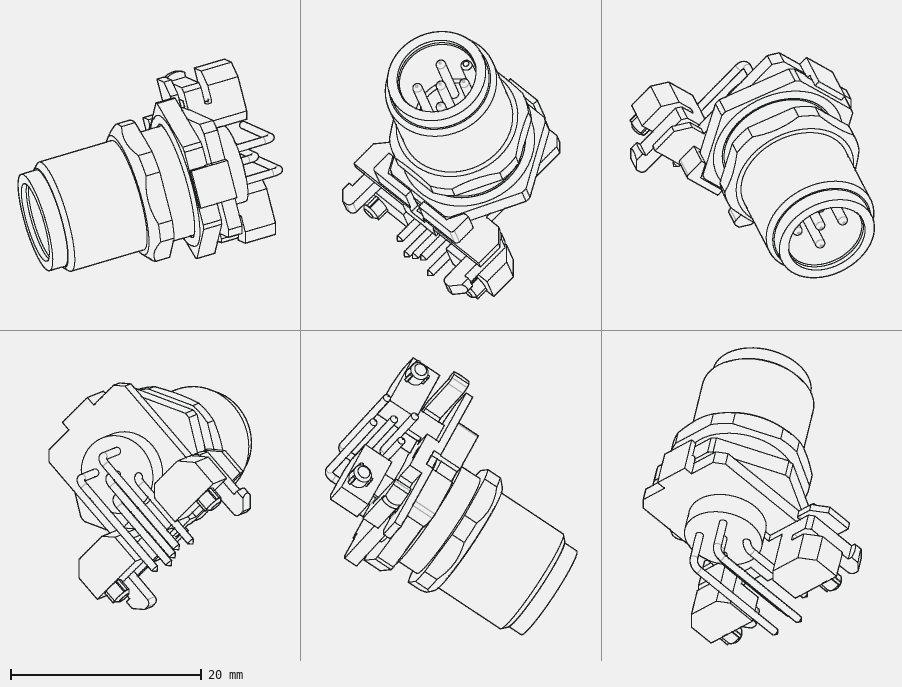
import cadquery as cq
import math

MOUNT_ANGLE = -45

TIP_DIA = 10.6
TIP_LENGTH = 1.67
BARREL_DIA = 12.0
BARREL_CHAMFER = 0.55
BORE_MOUTH_DIA = 8.5
BORE_MOUTH_DEPTH = 0.55
BORE_DIA = 8.3
BORE_TAPER_LENGTH = 0.22
BORE_DEPTH = 8.9
BORE_FLOOR_DIA = 7.65

NUT_FRONT = 10.33
NUT_BACK = 12.8
NUT_APOTHEM = 7.05
NUT_CORNER_RADIUS = 7.52
NUT_FACE_DIA = 13.08
NUT_CHAMFER_LENGTH = 0.95

FLANGE_FRONT = 15.8
FLANGE_BACK = 17.82
FLANGE_APOTHEM = 7.55
FLANGE_CORNER_RADIUS = 8.55
SEAL_DIA = 14.4
SEAL_SECTION_RADIUS = 0.5
SEAL_PROUD = 0.38

PLATE_FRONT = 18.33
PLATE_BACK = 19.85
PLATE_RIGHT = 7.47
PLATE_HALF_HEIGHT = 6.23
PLATE_CHAMFER = 0.95
NECK_DIA = 10.6
INSERT_DIA = 8.3
INSERT_BACK = 22.3

CLIP_HALF_WIDTH = 2.05
CLIP_OUTER = 8.52
CLIP_INNER = 7.9
CLIP_STEP = 17.52

BOARD_FACE = -8.6
CARRIER_INNER = -4.18
CARRIER_HALF_HEIGHT = 9.5
CARRIER_CHAMFER = 1.43
WING_BACK = 19.17
TOWER_FRONT = 22.5
TOWER_BACK = 25.9
TOWER_INNER = 3.24
TOWER_INNER_CHAMFER = 1.05
CORE_FACE = -6.07
CORE_HALF_HEIGHT = 6.17
TAB_BACK = 20.68
TAB_HALF_HEIGHT = 2.3
SLOT_FILLET = 0.25

FOOT_FACE = -8.47
FOOT_INNER = -5.95
FOOT_HALF_HEIGHT = 6.05
FOOT_FILLET = 0.38
FLANGE_CLEARANCE = 0.13
FOOT_GAP_HALF_HEIGHT = 2.65
NOTCH_HALF_HEIGHT = 1.0
NOTCH_BOTTOM = -7.63
WINDOW_HALF_HEIGHT = 0.65
WINDOW_OUTER = -8.11

HOOK_FRONT = 19.85
HOOK_BACK = 21.75
HOOK_OUTER = 8.55
HOOK_INNER = 6.95
HOOK_ROOT = -5.72
HOOK_BARB_START = -10.22
HOOK_BARB_TIP = 9.33
HOOK_BARB_SLOPE_START = -10.92
HOOK_END = -12.19
HOOK_END_INNER = 7.05
HOOK_END_FILLET = 0.55
HOOK_CROWN_RADIUS = 1.78

PEG_DIA = 2.0
PEG_RIB_COUNT = 3
PEG_RIB_WIDTH = 0.35
PEG_RIB_RADIUS = 1.2
PEG_TIP = -10.3
PEG_CHAMFER = 0.32
PEG_HEIGHT = 7.52
PEG_Y = 24.83

CONTACT_PITCH = 1.78
CONTACT_DIA = 1.0
CONTACT_TIP = 1.8
CONTACT_TIP_FILLET = 0.38
WIRE_DIA = 0.8
WIRE_END = -11.1
WIRE_CHAMFER = 0.38
BEND_RADIUS = 0.92
WIRE_ROW_Y = {-CONTACT_PITCH: 23.02, 0: 24.8, CONTACT_PITCH: 26.55}
CONTACT_PLACES = [
    (0, 0),
    (CONTACT_PITCH, CONTACT_PITCH),
    (CONTACT_PITCH, -CONTACT_PITCH),
    (-CONTACT_PITCH, CONTACT_PITCH),
    (-CONTACT_PITCH, -CONTACT_PITCH),
]

KEY_DIA = 1.2
KEY_OFFSET = 3.67
KEY_FRONT = 2.7


def prism(points, front, back):
    """Outline of (x, z) points extruded between two y positions."""
    return cq.Workplane("XZ", origin=(0, back, 0)).polyline(points).close().extrude(back - front)


def block(x0, x1, z0, z1, front, back):
    return prism([(x0, z0), (x1, z0), (x1, z1), (x0, z1)], front, back)


def disc(diameter, front, back, x=0, z=0):
    return cq.Workplane("XZ", origin=(x, back, z)).circle(diameter / 2).extrude(back - front)


def turned(profile):
    """Revolve (radius, y) points about the connector axis."""
    return cq.Workplane("XY").polyline(profile).close().revolve(360, (0, 0, 0), (0, 1, 0))


def hexagon(apothem, front, back):
    """Hexagonal prism with two corners on the Z axis."""
    across_corners = 2 * apothem / math.cos(math.radians(30))
    outline = cq.Workplane("XZ", origin=(0, back, 0)).transformed(rotate=(0, 0, 90))
    return outline.polygon(6, across_corners).extrude(back - front)


def both_sides(solid):
    """The solid together with its mirror image in the plane z = 0."""
    return solid.union(solid.mirror("XY"))


def make_barrel():
    barrel_radius = BARREL_DIA / 2
    outer = turned([
        (0, 0),
        (TIP_DIA / 2, 0),
        (TIP_DIA / 2, TIP_LENGTH),
        (barrel_radius - BARREL_CHAMFER, TIP_LENGTH),
        (barrel_radius, TIP_LENGTH + BARREL_CHAMFER),
        (barrel_radius, FLANGE_BACK),
        (0, FLANGE_BACK),
    ])
    floor_chamfer = (BORE_DIA - BORE_FLOOR_DIA) / 2
    bore = turned([
        (0, 0),
        (BORE_MOUTH_DIA / 2, 0),
        (BORE_MOUTH_DIA / 2, BORE_MOUTH_DEPTH),
        (BORE_DIA / 2, BORE_MOUTH_DEPTH + BORE_TAPER_LENGTH),
        (BORE_DIA / 2, BORE_DEPTH - floor_chamfer),
        (BORE_FLOOR_DIA / 2, BORE_DEPTH),
        (0, BORE_DEPTH),
    ])
    key = disc(KEY_DIA, KEY_FRONT, BORE_DEPTH, KEY_OFFSET).faces("<Y").chamfer(KEY_DIA / 4)
    return outer.cut(bore).union(key.intersect(disc(BARREL_DIA, 0, BORE_DEPTH)))


def make_nut():
    envelope = turned([
        (0, NUT_FRONT),
        (NUT_FACE_DIA / 2, NUT_FRONT),
        (NUT_CORNER_RADIUS, NUT_FRONT + NUT_CHAMFER_LENGTH),
        (NUT_CORNER_RADIUS, NUT_BACK),
        (0, NUT_BACK),
    ])
    nut = hexagon(NUT_APOTHEM, NUT_FRONT, NUT_BACK).intersect(envelope)
    return nut.cut(disc(BARREL_DIA, NUT_FRONT, NUT_BACK))


def make_flange():
    flange = hexagon(FLANGE_APOTHEM, FLANGE_FRONT, FLANGE_BACK)
    flange = flange.intersect(disc(2 * FLANGE_CORNER_RADIUS, FLANGE_FRONT, FLANGE_BACK))
    ring_radius = SEAL_DIA / 2 - SEAL_SECTION_RADIUS
    ring_y = FLANGE_FRONT - SEAL_PROUD + SEAL_SECTION_RADIUS
    seal = (
        cq.Workplane("XY")
        .center(ring_radius, ring_y)
        .circle(SEAL_SECTION_RADIUS)
        .revolve(360, (-ring_radius, 0, 0), (-ring_radius, 1, 0))
    )
    return flange.union(seal)


def make_plate():
    plate = block(CORE_FACE, PLATE_RIGHT, -PLATE_HALF_HEIGHT, PLATE_HALF_HEIGHT, PLATE_FRONT, PLATE_BACK)
    plate = plate.edges("|Y and >X").chamfer(PLATE_CHAMFER)
    neck = disc(NECK_DIA, FLANGE_BACK, PLATE_FRONT)
    insert = disc(INSERT_DIA, PLATE_BACK, INSERT_BACK)
    return plate.union(neck).union(insert)


def make_clip():
    root = block(PLATE_RIGHT, CLIP_OUTER, -CLIP_HALF_WIDTH, CLIP_HALF_WIDTH, CLIP_STEP, PLATE_BACK)
    tongue = block(CLIP_INNER, CLIP_OUTER, -CLIP_HALF_WIDTH, CLIP_HALF_WIDTH, FLANGE_FRONT, CLIP_STEP)
    return root.union(tongue)


def make_foot():
    foot = block(FOOT_FACE, FOOT_INNER, -FOOT_HALF_HEIGHT, FOOT_HALF_HEIGHT, FLANGE_FRONT, WING_BACK)
    foot = foot.edges("|Y and <X").fillet(FOOT_FILLET)
    gap = block(
        FOOT_FACE, FOOT_INNER, -FOOT_GAP_HALF_HEIGHT, FOOT_GAP_HALF_HEIGHT, FLANGE_BACK, PLATE_FRONT
    )
    lip = block(
        FOOT_FACE, NOTCH_BOTTOM, -FOOT_GAP_HALF_HEIGHT, FOOT_GAP_HALF_HEIGHT, FLANGE_BACK, PLATE_FRONT
    )
    flange_seat = hexagon(FLANGE_APOTHEM + FLANGE_CLEARANCE, FLANGE_FRONT, FLANGE_BACK)
    return foot.cut(gap).union(lip).cut(flange_seat)


def make_wing():
    wing = block(
        BOARD_FACE, CARRIER_INNER, -CARRIER_HALF_HEIGHT, CARRIER_HALF_HEIGHT, PLATE_FRONT, WING_BACK
    )
    return wing.edges("|Y and >X").chamfer(CARRIER_CHAMFER)


def make_core():
    """Bridge that ties the wing, the hooks and the towers together."""
    core = block(
        CORE_FACE, CARRIER_INNER, -CORE_HALF_HEIGHT, CORE_HALF_HEIGHT, WING_BACK, TOWER_FRONT
    )
    opening = prism(
        [
            (CORE_FACE, -TOWER_INNER),
            (CARRIER_INNER - TOWER_INNER_CHAMFER, -TOWER_INNER),
            (CARRIER_INNER, -TOWER_INNER - TOWER_INNER_CHAMFER),
            (CARRIER_INNER, TOWER_INNER + TOWER_INNER_CHAMFER),
            (CARRIER_INNER - TOWER_INNER_CHAMFER, TOWER_INNER),
            (CORE_FACE, TOWER_INNER),
        ],
        TAB_BACK,
        TOWER_FRONT,
    )
    tab = block(BOARD_FACE, 0, -TAB_HALF_HEIGHT, TAB_HALF_HEIGHT, WING_BACK, TAB_BACK)
    return core.cut(opening).union(tab)


def make_slot_floors():
    """Rounded floors of the slots in front of and behind each hook."""
    floors = cq.Workplane("XY")
    for front, back in ((WING_BACK, HOOK_FRONT), (HOOK_BACK, TOWER_FRONT)):
        floor_top = CORE_HALF_HEIGHT + SLOT_FILLET
        floor = block(HOOK_ROOT, CARRIER_INNER, CORE_HALF_HEIGHT, floor_top, front, back)
        slot = block(HOOK_ROOT, CARRIER_INNER, CORE_HALF_HEIGHT, HOOK_OUTER, front, back)
        floors = floors.union(floor.cut(slot.edges("|X and <Z").fillet(SLOT_FILLET)))
    return both_sides(floors)


def make_peg():
    """Locating peg with crush ribs that stop short of its chamfered tip."""
    peg = (
        cq.Workplane("YZ", origin=(PEG_TIP, PEG_Y, PEG_HEIGHT))
        .circle(PEG_DIA / 2)
        .extrude(BOARD_FACE - PEG_TIP)
        .faces("<X")
        .chamfer(PEG_CHAMFER)
    )
    rib_start = PEG_TIP + PEG_CHAMFER
    for index in range(PEG_RIB_COUNT):
        rib = (
            cq.Workplane("YZ", origin=(rib_start, PEG_Y, PEG_HEIGHT))
            .center(-PEG_RIB_RADIUS / 2, 0)
            .rect(PEG_RIB_RADIUS, PEG_RIB_WIDTH)
            .extrude(BOARD_FACE - rib_start)
        )
        axis_start = (0, PEG_Y, PEG_HEIGHT)
        axis_end = (1, PEG_Y, PEG_HEIGHT)
        peg = peg.union(rib.rotate(axis_start, axis_end, index * 360 / PEG_RIB_COUNT))
    return peg


def make_towers():
    tower = prism(
        [
            (BOARD_FACE, TOWER_INNER),
            (CARRIER_INNER - TOWER_INNER_CHAMFER, TOWER_INNER),
            (CARRIER_INNER, TOWER_INNER + TOWER_INNER_CHAMFER),
            (CARRIER_INNER, CARRIER_HALF_HEIGHT - CARRIER_CHAMFER),
            (CARRIER_INNER - CARRIER_CHAMFER, CARRIER_HALF_HEIGHT),
            (BOARD_FACE, CARRIER_HALF_HEIGHT),
        ],
        TOWER_FRONT,
        TOWER_BACK,
    )
    return both_sides(tower.union(make_peg()))


def make_hooks():
    root_bevel = HOOK_OUTER - (CARRIER_HALF_HEIGHT - CARRIER_CHAMFER)
    barb_slope = HOOK_BARB_SLOPE_START - HOOK_END
    hook = prism(
        [
            (CARRIER_INNER, CORE_HALF_HEIGHT),
            (CARRIER_INNER, HOOK_OUTER - root_bevel),
            (CARRIER_INNER - root_bevel, HOOK_OUTER),
            (HOOK_BARB_START, HOOK_OUTER),
            (HOOK_BARB_START, HOOK_BARB_TIP),
            (HOOK_BARB_SLOPE_START, HOOK_BARB_TIP),
            (HOOK_END, HOOK_BARB_TIP - barb_slope),
            (HOOK_END, HOOK_END_INNER),
            (HOOK_ROOT, HOOK_INNER),
            (HOOK_ROOT, CORE_HALF_HEIGHT),
        ],
        HOOK_FRONT,
        HOOK_BACK,
    )
    hook = hook.edges("|Y").edges("<X").edges("<Z").fillet(HOOK_END_FILLET)
    middle_y = (HOOK_FRONT + HOOK_BACK) / 2
    crown = (
        cq.Workplane("YZ", origin=(HOOK_END, middle_y, HOOK_BARB_TIP - HOOK_CROWN_RADIUS))
        .circle(HOOK_CROWN_RADIUS)
        .extrude(CARRIER_INNER - HOOK_END)
    )
    return both_sides(hook.intersect(crown))


def board_side_cuts():
    """Notch in the foot and wing, and the small window in the tab behind it."""
    notch = block(
        BOARD_FACE, NOTCH_BOTTOM, -NOTCH_HALF_HEIGHT, NOTCH_HALF_HEIGHT, FLANGE_FRONT, WING_BACK
    )
    window = block(
        WINDOW_OUTER, NOTCH_BOTTOM, -WINDOW_HALF_HEIGHT, WINDOW_HALF_HEIGHT, WING_BACK, TAB_BACK
    )
    return notch.union(window)


def make_contact(x, z):
    """Straight contact pin in the bore and its right-angle solder wire at the back."""
    pin = disc(CONTACT_DIA, CONTACT_TIP, BORE_DEPTH, x, z).faces("<Y").fillet(CONTACT_TIP_FILLET)
    row_y = WIRE_ROW_Y[x]
    start_y = INSERT_BACK - WIRE_DIA
    bend_y = row_y - BEND_RADIUS
    bend_middle = (
        x - BEND_RADIUS * (1 - math.sqrt(0.5)),
        bend_y + BEND_RADIUS * math.sqrt(0.5),
    )
    path = (
        cq.Workplane("XY", origin=(0, 0, z))
        .moveTo(x, start_y)
        .lineTo(x, bend_y)
        .threePointArc(bend_middle, (x - BEND_RADIUS, row_y))
        .lineTo(WIRE_END, row_y)
    )
    section = cq.Workplane("XZ", origin=(x, start_y, z)).circle(WIRE_DIA / 2)
    wire = section.sweep(path).faces("<X").chamfer(WIRE_CHAMFER)
    return pin.union(wire)


body = make_barrel().union(make_nut()).union(make_flange()).union(make_plate()).union(make_clip())
body = body.union(make_foot()).union(make_wing()).union(make_core()).union(make_slot_floors())
body = body.union(make_towers()).union(make_hooks())
body = body.cut(board_side_cuts())
for place_x, place_z in CONTACT_PLACES:
    body = body.union(make_contact(place_x, place_z))

result = body.rotate((0, 0, 0), (0, 1, 0), MOUNT_ANGLE)